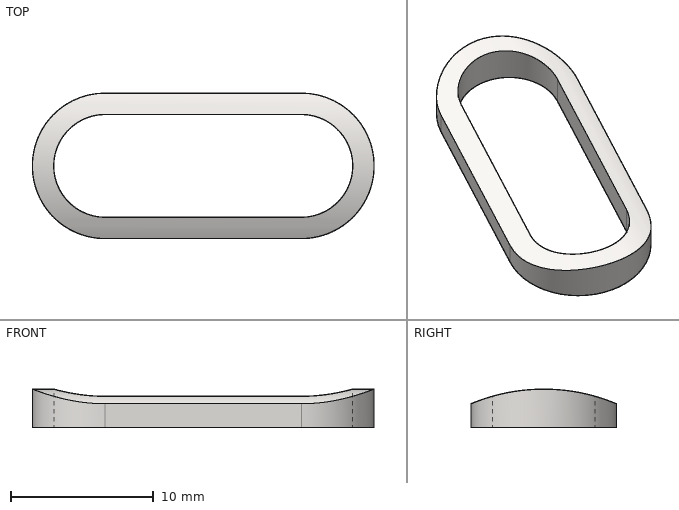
import cadquery as cq

length = 23.95
width = 10.2
wall = 1.5
crown_height = 2.7
side_height = 1.68

half_width = width / 2


def crowned_block():
    """Full-length block with an arched top."""
    return (
        cq.Workplane("YZ")
        .moveTo(-half_width, 0)
        .lineTo(half_width, 0)
        .lineTo(half_width, side_height)
        .threePointArc((0, crown_height), (-half_width, side_height))
        .close()
        .extrude(length / 2, both=True)
    )


def oval_ring():
    """Tall ring with straight long sides and semicircular ends."""
    outer = cq.Workplane("XY").slot2D(length, width).extrude(crown_height)
    opening = cq.Workplane("XY").slot2D(length - 2 * wall, width - 2 * wall).extrude(crown_height)
    return outer.cut(opening)


result = oval_ring().intersect(crowned_block())